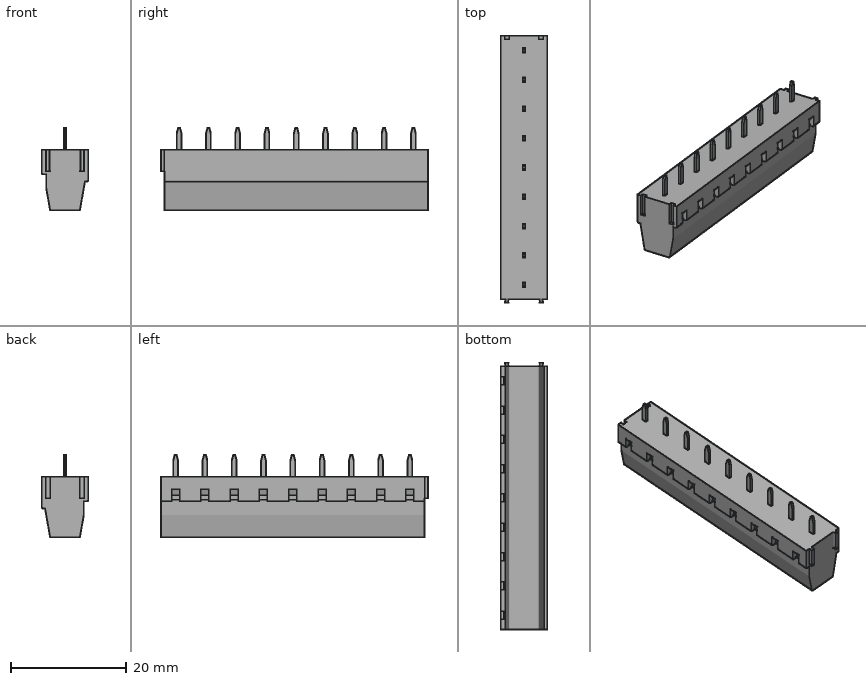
import cadquery as cq
import math

total_length = 46.3
lug_length = 0.6
body_length = total_length - lug_length

pin_count = 9
pitch = body_length / pin_count
pin_thickness = 0.4
pin_width = 0.9
pin_tip_width = 0.35
pin_tip_length = 0.95
pin_height = 3.75

body_width = 8.1
body_height = 10.55
left_ledge_z = 6.25
right_ledge_z = 5.0
left_wall_x = -3.3
bottom_half_width = 2.6
taper_angle = 10.0
corner_radius = 0.3

window_width = 1.4
window_top_z = 8.35
window_slope_end_z = 7.35
window_sill_z = 6.55
window_back_x = -3.15
window_slope_angle = 20.0

lug_outer_x = 3.25
lug_outer_tip_x = 3.35
lug_inner_x = 2.55
lug_inner_tip_x = 2.7
lug_root_radius = 0.2
lug_height = 3.8

half_width = body_width / 2
back_y = body_length / 2
front_y = -back_y
taper = math.tan(math.radians(taper_angle))
pin_positions = [front_y + (i + 0.5) * pitch for i in range(pin_count)]


def make_housing():
    """Stepped profile with tapered lower walls, extruded along Y."""
    taper_start_z = (-left_wall_x - bottom_half_width) / taper
    right_step_x = bottom_half_width + right_ledge_z * taper
    outline = [
        (-half_width, body_height),
        (half_width, body_height),
        (half_width, right_ledge_z),
        (right_step_x, right_ledge_z),
        (bottom_half_width, 0),
        (-bottom_half_width, 0),
        (left_wall_x, taper_start_z),
        (left_wall_x, left_ledge_z),
        (-half_width, left_ledge_z),
    ]
    housing = cq.Workplane("XZ", origin=(0, back_y, 0)).polyline(outline).close().extrude(body_length)
    rounded_corners = [
        (half_width, right_ledge_z),
        (bottom_half_width, 0),
        (-bottom_half_width, 0),
        (-half_width, left_ledge_z),
    ]
    for x, z in rounded_corners:
        edge = cq.selectors.NearestToPointSelector((x, 0, z))
        housing = housing.edges(edge).fillet(corner_radius)
    return housing


def make_window(y):
    """Notch open to the ledge below the -X wall, with a sloped back above a small sill."""
    slope_run = (window_top_z - window_slope_end_z) * math.tan(math.radians(window_slope_angle))
    outline = [
        (-half_width, left_ledge_z),
        (-half_width, window_top_z),
        (window_back_x - slope_run, window_top_z),
        (window_back_x, window_slope_end_z),
        (window_back_x, window_sill_z),
        (left_wall_x, window_sill_z),
        (left_wall_x, left_ledge_z),
    ]
    start = (0, y + window_width / 2, 0)
    return cq.Workplane("XZ", origin=start).polyline(outline).close().extrude(window_width)


def lug_base_plane():
    """Workplane at the height where the lugs and grooves begin below the top face."""
    return cq.Workplane("XY", origin=(0, 0, body_height - lug_height))


def make_lug(side):
    """Bar on the -Y end, rounded at its inner root and widening to its tip; side is -1 or 1 in X."""
    neck_y = front_y - lug_root_radius
    tip_y = front_y - lug_length
    neck_x = lug_inner_x + lug_root_radius
    arc_offset = lug_root_radius * (1 - math.sqrt(0.5))
    arc_middle = (side * (neck_x - arc_offset), front_y - arc_offset)
    return (
        lug_base_plane()
        .moveTo(side * lug_outer_x, front_y)
        .lineTo(side * lug_inner_x, front_y)
        .threePointArc(arc_middle, (side * neck_x, neck_y))
        .lineTo(side * lug_inner_tip_x, tip_y)
        .lineTo(side * lug_outer_tip_x, tip_y)
        .lineTo(side * lug_outer_x, neck_y)
        .close()
        .extrude(lug_height)
    )


def make_groove(side):
    """Rectangular groove in the +Y end, wide enough for a lug."""
    groove_width = lug_outer_tip_x - lug_inner_x
    center_x = side * (lug_outer_tip_x + lug_inner_x) / 2
    center_y = back_y - lug_length / 2
    return (
        lug_base_plane()
        .center(center_x, center_y)
        .rect(groove_width, lug_length)
        .extrude(lug_height)
    )


def make_pin(y):
    """Flat pin standing on the top face, with its tip tapered along Y."""
    shoulder_z = pin_height - pin_tip_length
    outline = [
        (-pin_width / 2, 0),
        (pin_width / 2, 0),
        (pin_width / 2, shoulder_z),
        (pin_tip_width / 2, pin_height),
        (-pin_tip_width / 2, pin_height),
        (-pin_width / 2, shoulder_z),
    ]
    base = (0, y, body_height)
    return cq.Workplane("YZ", origin=base).polyline(outline).close().extrude(pin_thickness / 2, both=True)


result = make_housing()
for y in pin_positions:
    result = result.cut(make_window(y))
    result = result.union(make_pin(y))
for side in (-1, 1):
    result = result.cut(make_groove(side))
    result = result.union(make_lug(side))